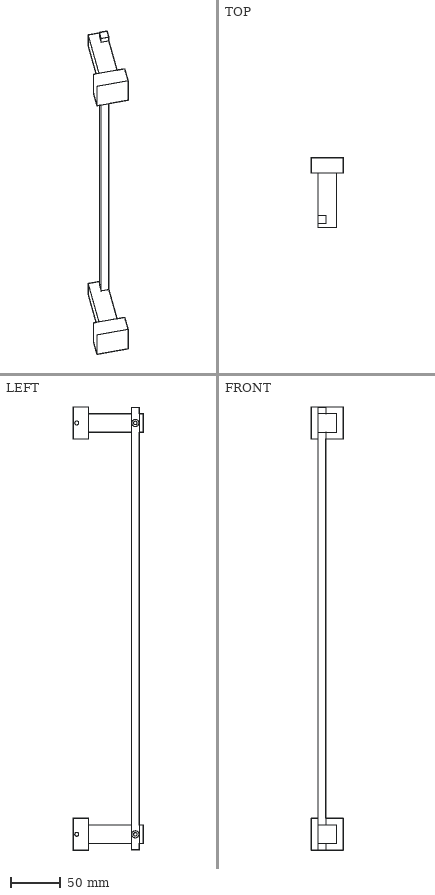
import cadquery as cq

overall_height = 450.5
overall_depth = 71.0

base_size = 33.0
base_depth = 15.8
base_corner_radius = 1.0

post_size = 19.0

bar_size = 8.0
bar_length = 449.5
bar_front_gap = 4.0

bar_screw_diameter = 7.0
bar_screw_length = 12.0
bar_socket_diameter = 3.5
bar_socket_depth = 5.5

set_screw_diameter = 4.0
set_screw_length = 8.0
set_screw_recess = 2.5
set_screw_cone_depth = 1.5
set_screw_inset = 3.5

base_left_x = -base_size / 2
post_left_x = -post_size / 2
back_y = overall_depth / 2
front_y = -overall_depth / 2
base_front_y = back_y - base_depth
bar_x = post_left_x + bar_size / 2
bar_y = front_y + bar_front_gap + bar_size / 2
set_screw_y = back_y - set_screw_inset
post_spacing = overall_height - base_size
post_heights = [-post_spacing / 2, post_spacing / 2]


def cylinder_along_x(diameter, length, start_x, y, z):
    return (
        cq.Workplane("YZ", origin=(start_x, y, z))
        .circle(diameter / 2)
        .extrude(length)
    )


def make_base(z):
    block = (
        cq.Workplane("XY")
        .box(base_size, base_depth, base_size)
        .edges("|Y")
        .fillet(base_corner_radius)
        .translate((0, back_y - base_depth / 2, z))
    )
    hole = cylinder_along_x(
        set_screw_diameter, set_screw_recess + set_screw_length, base_left_x, set_screw_y, z
    )
    return block.cut(hole)


def bar_blank():
    return cq.Workplane("XY").box(bar_size, bar_size, bar_length).translate((bar_x, bar_y, 0))


def bar_screw_blank(z):
    return cylinder_along_x(bar_screw_diameter, bar_screw_length, post_left_x, bar_y, z)


def make_post(z):
    length = base_front_y - front_y
    block = cq.Workplane("XY").box(post_size, length, post_size)
    block = block.translate((0, front_y + length / 2, z))
    return block.cut(bar_blank()).cut(bar_screw_blank(z))


def make_bar():
    bar = bar_blank()
    for z in post_heights:
        bar = bar.cut(bar_screw_blank(z))
    return bar


def make_bar_screw(z):
    socket = cylinder_along_x(bar_socket_diameter, bar_socket_depth, post_left_x, bar_y, z)
    return bar_screw_blank(z).cut(socket)


def make_set_screw(z):
    start_x = base_left_x + set_screw_recess
    outer_end = cq.Vector(start_x, set_screw_y, z)
    cone = cq.Solid.makeCone(set_screw_diameter / 2, 0, set_screw_cone_depth, outer_end, cq.Vector(1, 0, 0))
    screw = cylinder_along_x(set_screw_diameter, set_screw_length, start_x, set_screw_y, z)
    return screw.cut(cq.Workplane(cone))


bar = make_bar()
bases = [make_base(z) for z in post_heights]
posts = [make_post(z) for z in post_heights]
bar_screws = [make_bar_screw(z) for z in post_heights]
set_screws = [make_set_screw(z) for z in post_heights]

bodies = [bar, *bases, *posts, *bar_screws, *set_screws]
result = cq.Compound.makeCompound([body.val() for body in bodies])